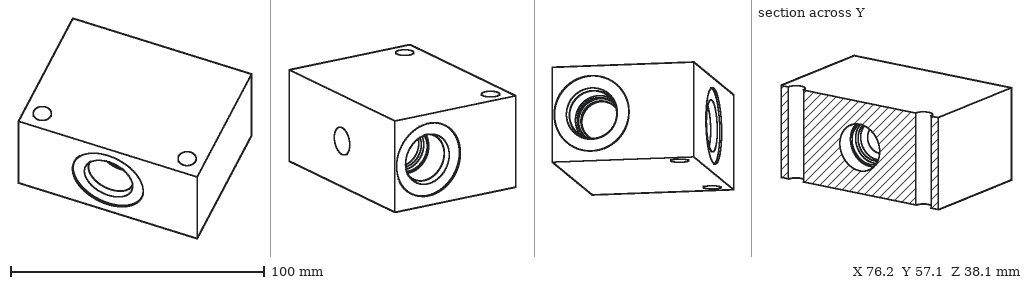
import cadquery as cq
import math

LENGTH = 76.2
WIDTH = 57.15
HEIGHT = 38.1

SPOTFACE_DIAMETER = 30.2
SPOTFACE_DEPTH = 0.8
SEAT_MOUTH_DIAMETER = 20.6
SEAT_THROAT_DIAMETER = 19.3
SEAT_DEPTH = 2.5
THREAD_DIAMETER = 19.05
THREAD_END = 14.3
PILOT_DIAMETER = 17.5
PILOT_END = 16.8
DRILL_DIAMETER = 15.85
DRILL_END = 19.05
DRILL_POINT_ANGLE = 120.0

PORT_HEIGHT = HEIGHT / 2
FRONT_PORT_X = LENGTH / 2
SIDE_PORT_EDGE_GAP = 15.85
SIDE_PORT_Y = WIDTH - SIDE_PORT_EDGE_GAP

PASSAGE_DIAMETER = 11.1

MOUNTING_HOLE_DIAMETER = 7.2
MOUNTING_HOLE_INSET = 7.25


def point_depth(diameter_drop):
    """Axial length over which a drill point narrows by the given diameter."""
    return diameter_drop / 2 / math.tan(math.radians(DRILL_POINT_ANGLE / 2))


def port_cutter():
    """Solid of revolution for one port: mouth at the origin, running along +Y."""
    seat_end = SPOTFACE_DEPTH + SEAT_DEPTH
    profile = [
        (0, 0),
        (SPOTFACE_DIAMETER / 2, 0),
        (SPOTFACE_DIAMETER / 2, SPOTFACE_DEPTH),
        (SEAT_MOUTH_DIAMETER / 2, SPOTFACE_DEPTH),
        (SEAT_THROAT_DIAMETER / 2, seat_end),
        (THREAD_DIAMETER / 2, seat_end),
        (THREAD_DIAMETER / 2, THREAD_END),
        (PILOT_DIAMETER / 2, THREAD_END),
        (PILOT_DIAMETER / 2, PILOT_END),
        (DRILL_DIAMETER / 2, PILOT_END + point_depth(PILOT_DIAMETER - DRILL_DIAMETER)),
        (DRILL_DIAMETER / 2, DRILL_END),
        (0, DRILL_END + point_depth(DRILL_DIAMETER)),
    ]
    return cq.Workplane("XY").polyline(profile).close().revolve(360, (0, 0, 0), (0, 1, 0))


block = cq.Workplane("XY").box(LENGTH, WIDTH, HEIGHT, centered=False)

front_port = port_cutter().translate((FRONT_PORT_X, 0, PORT_HEIGHT))
side_port = port_cutter().rotate((0, 0, 0), (0, 0, 1), -90).translate((0, SIDE_PORT_Y, PORT_HEIGHT))

passage = (
    cq.Workplane("XZ")
    .center(FRONT_PORT_X, PORT_HEIGHT)
    .circle(PASSAGE_DIAMETER / 2)
    .extrude(-WIDTH)
)

mounting_holes = (
    cq.Workplane("XY")
    .pushPoints([(x, MOUNTING_HOLE_INSET) for x in (MOUNTING_HOLE_INSET, LENGTH - MOUNTING_HOLE_INSET)])
    .circle(MOUNTING_HOLE_DIAMETER / 2)
    .extrude(HEIGHT)
)

result = block.cut(front_port).cut(side_port).cut(passage).cut(mounting_holes)